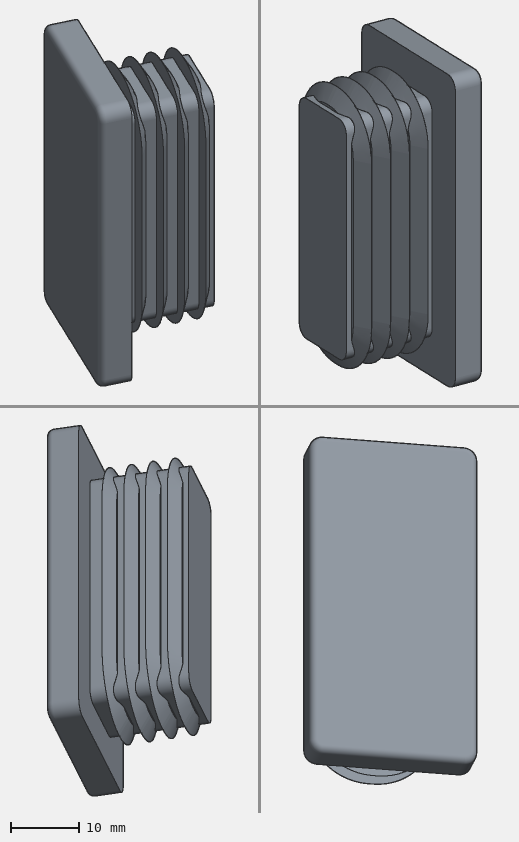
import cadquery as cq
import math

head_width = 25.0
head_height = 50.0
head_depth = 5.0
head_corner_radius = 2.0
head_edge_fillet = 1.0

total_depth = 20.0
plug_width = 12.6
plug_height = 38.5
plug_corner_radius = 1.95

fin_count = 4
fin_width = 18.75
fin_height = 44.5
fin_corner_radius = 9.0
fin_depth = 1.5
fin_slope = 30.0
fin_pitch = 3.3
first_fin_gap = 2.7

fin_inset = fin_depth / math.tan(math.radians(fin_slope))


def rounded_block(width, height, radius, y_start, depth):
    """Block centred on the Y axis, its four edges along Y rounded."""
    return (
        cq.Workplane("XY")
        .box(width, depth, height, centered=(True, False, True))
        .edges("|Y")
        .fillet(radius)
        .translate((0, y_start, 0))
    )


def rounded_outline(width, height, radius):
    """Rectangle with rounded corners, used for the two ends of a fin."""
    return cq.Sketch().rect(width, height).vertices().fillet(radius)


def make_head():
    """Rounded plate with its front rim filleted."""
    block = rounded_block(head_width, head_height, head_corner_radius, 0, head_depth)
    return block.faces("<Y").edges().fillet(head_edge_fillet)


def make_plug():
    """Block reaching from the back of the head to the full depth."""
    depth = total_depth - head_depth
    return rounded_block(plug_width, plug_height, plug_corner_radius, head_depth, depth)


def make_fin(y_rim):
    """Collar whose sharp rim lies at y_rim, ruled to an outline inset on every side."""
    rim = rounded_outline(fin_width, fin_height, fin_corner_radius)
    small_end = rounded_outline(
        fin_width - 2 * fin_inset,
        fin_height - 2 * fin_inset,
        fin_corner_radius - fin_inset,
    )
    return (
        cq.Workplane("XZ", origin=(0, y_rim, 0))
        .placeSketch(rim, small_end.moved(cq.Location(cq.Vector(0, 0, -fin_depth))))
        .loft(ruled=True)
    )


result = make_head().union(make_plug())
for index in range(fin_count):
    fin_y = head_depth + first_fin_gap + index * fin_pitch
    result = result.union(make_fin(fin_y))